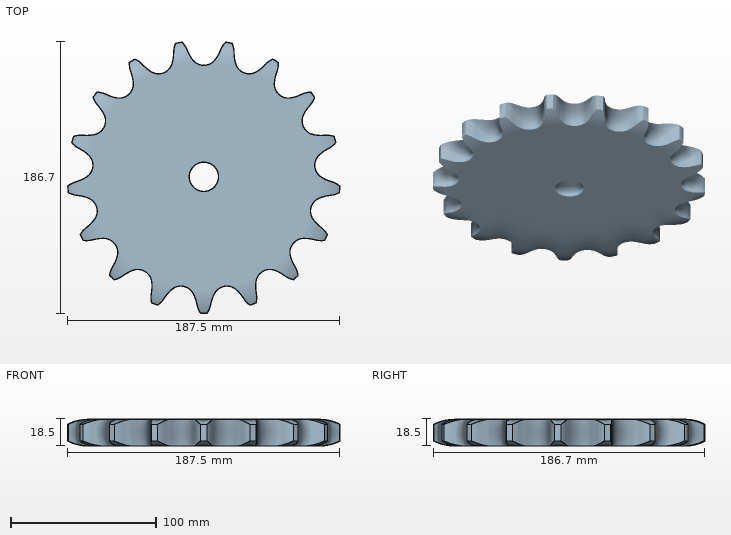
import cadquery as cq
import math

tooth_count = 17
chain_pitch = 31.75
roller_diameter = 19.05
tip_radius = 93.95
thickness = 18.5
bore_diameter = 20.0
side_relief_depth = 3.5
side_relief_radius = 32.0

seat_growth = 1.005
seat_clearance = 0.0762
flank_offset_ratio = 0.8
crown_offset_ratio = 1.4
seat_end_degrees = 35 + 60 / tooth_count
flank_sweep_degrees = 18 - 56 / tooth_count

half_step = math.pi / tooth_count
pitch_radius = chain_pitch / (2 * math.sin(half_step))
seat_radius = (seat_growth * roller_diameter + seat_clearance) / 2
seat_end_angle = math.radians(seat_end_degrees)
flank_end_angle = math.radians(seat_end_degrees - flank_sweep_degrees)
flank_centre_offset = flank_offset_ratio * roller_diameter
flank_radius = seat_radius + flank_centre_offset
crown_centre_offset = crown_offset_ratio * roller_diameter

side_relief_width = math.sqrt(side_relief_depth * (2 * side_relief_radius - side_relief_depth))
flat_face_radius = tip_radius - side_relief_width


def polar(centre, radius, angle):
    """Point at a distance and direction from a centre."""
    return (centre[0] + radius * math.cos(angle), centre[1] + radius * math.sin(angle))


def half_gap_points():
    """Points of the +X half of the gap on the +Y axis, from its bottom to the tooth tip."""
    roller_centre = (0, pitch_radius)
    flank_centre = polar(roller_centre, -flank_centre_offset, -seat_end_angle)
    crown_centre = polar(roller_centre, crown_centre_offset, -half_step)

    along_normal = (
        (crown_centre[0] - flank_centre[0]) * math.cos(flank_end_angle)
        - (crown_centre[1] - flank_centre[1]) * math.sin(flank_end_angle)
    )
    crown_radius = along_normal - flank_radius

    crown_distance = math.hypot(*crown_centre)
    crown_direction = math.atan2(crown_centre[1], crown_centre[0])
    cosine = (tip_radius**2 + crown_distance**2 - crown_radius**2) / (2 * tip_radius * crown_distance)
    tip_corner = polar((0, 0), tip_radius, crown_direction + math.acos(cosine))

    crown_start_angle = math.pi - flank_end_angle
    corner_angle = math.atan2(tip_corner[1] - crown_centre[1], tip_corner[0] - crown_centre[0])
    return {
        "bottom": polar(roller_centre, seat_radius, -math.pi / 2),
        "seat_end": polar(roller_centre, seat_radius, -seat_end_angle),
        "flank_middle": polar(flank_centre, flank_radius, -(seat_end_angle + flank_end_angle) / 2),
        "flank_end": polar(flank_centre, flank_radius, -flank_end_angle),
        "crown_start": polar(crown_centre, crown_radius, crown_start_angle),
        "crown_middle": polar(crown_centre, crown_radius, (crown_start_angle + corner_angle) / 2),
        "tip_corner": tip_corner,
    }


def turned(point, angle):
    """Point turned about the sprocket axis."""
    return (
        point[0] * math.cos(angle) - point[1] * math.sin(angle),
        point[0] * math.sin(angle) + point[1] * math.cos(angle),
    )


def toothed_disc():
    """Disc with the full tooth outline, drawn clockwise one gap and tooth tip at a time."""
    right = half_gap_points()
    left = {name: (-x, y) for name, (x, y) in right.items()}
    outline = cq.Workplane("XY").workplane(offset=-thickness / 2).moveTo(*left["tip_corner"])
    for index in range(tooth_count):
        turn = -2 * half_step * index

        def at(side, name):
            return turned(side[name], turn)

        outline = (
            outline
            .threePointArc(at(left, "crown_middle"), at(left, "crown_start"))
            .lineTo(*at(left, "flank_end"))
            .threePointArc(at(left, "flank_middle"), at(left, "seat_end"))
            .threePointArc(at(right, "bottom"), at(right, "seat_end"))
            .threePointArc(at(right, "flank_middle"), at(right, "flank_end"))
            .lineTo(*at(right, "crown_start"))
            .threePointArc(at(right, "crown_middle"), at(right, "tip_corner"))
        )
        tip_middle = turned((0, tip_radius), turn - half_step)
        next_corner = turned(left["tip_corner"], turn - 2 * half_step)
        outline = outline.threePointArc(tip_middle, next_corner)
    return outline.close().extrude(thickness)


def relieved_blank():
    """Solid of revolution whose rim thins towards the tip on both faces."""
    top = thickness / 2
    rim_top = top - side_relief_depth
    half_sweep = math.asin(side_relief_width / side_relief_radius) / 2
    arc_x = flat_face_radius + side_relief_radius * math.sin(half_sweep)
    arc_z = top - side_relief_radius * (1 - math.cos(half_sweep))
    return (
        cq.Workplane("XZ")
        .moveTo(0, -top)
        .lineTo(flat_face_radius, -top)
        .threePointArc((arc_x, -arc_z), (tip_radius, -rim_top))
        .lineTo(tip_radius, rim_top)
        .threePointArc((arc_x, arc_z), (flat_face_radius, top))
        .lineTo(0, top)
        .close()
        .revolve(360, (0, 0, 0), (0, 1, 0))
    )


def bore():
    """Cylinder of the central through hole."""
    return cq.Workplane("XY").circle(bore_diameter / 2).extrude(thickness, both=True)


result = toothed_disc().intersect(relieved_blank()).cut(bore())